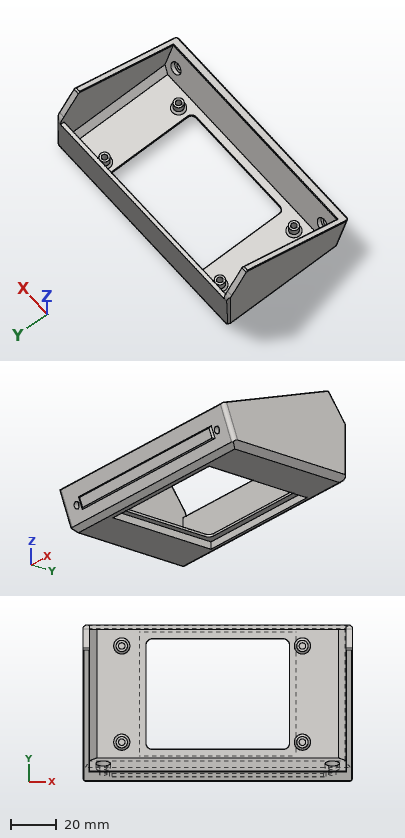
import cadquery as cq
import math

width = 118.0
depth = 68.7
height = 40.5
tilt = 20.5
rise = math.tan(math.radians(tilt))

front_corner_z = 18.5
nose_chamfer = 0.5
nose_rise = 0.6
nose_z = front_corner_z + nose_rise
front_base_z = 2.1
front_bevel = 2.8
front_base_y = (front_corner_z - front_base_z) * rise
front_bottom_y = front_base_y + front_bevel
peak_y = nose_chamfer + (height - nose_z) / rise
peak_bevel = 1.0
rear_slope_y = 66.8
rear_slope_z = 28.1
rear_wall_top = 23.4
rear_lean = 0.4
rear_base_y = depth - rear_lean
rear_chamfer = 1.2
side_bevel_width = 2.8
side_bevel_height = 3.3
front_edge_radius = 2.0
rim_chamfer = 0.4

side_wall = 3.0
front_rim = 4.5
rear_wall = 2.0
floor_z = 4.7
cavity_chamfer = 3.2

window_width = 62.8
window_depth = 48.3
window_center_y = 38.4
window_radius = 2.7
window_lip = 1.2
recess_margin = 3.0

post_spacing_x = 79.1
post_spacing_y = 42.1
post_center_x = -2.5
post_center_y = 38.4
post_diameter = 5.0
post_base_diameter = 7.1
post_flare = 1.1
post_height = 4.7
post_hole = 2.8
post_hole_depth = 5.9

bar_length = 94.9
bar_width = 5.9
bar_height = 0.6
bar_end_bevel = 1.2
bar_side_bevel = 0.6
feature_z = 9.5
screw_spacing = 100.3
screw_diameter = 3.3
pocket_diameter = 6.3
pocket_depth = 2.1


def side_extrusion(profile, span):
    """Extrude a closed YZ profile symmetrically about the middle of the case."""
    return profile.extrude(span / 2, both=True)


def make_shell():
    profile = (
        cq.Workplane("YZ")
        .moveTo(front_bottom_y, 0)
        .lineTo(rear_base_y - rear_chamfer, 0)
        .lineTo(rear_base_y, rear_chamfer)
        .lineTo(depth, rear_wall_top)
        .tangentArcPoint((rear_slope_y, rear_slope_z), relative=False)
        .lineTo(peak_y + peak_bevel, height - peak_bevel / 2)
        .lineTo(peak_y, height)
        .lineTo(nose_chamfer, nose_z)
        .lineTo(0, front_corner_z)
        .lineTo(front_base_y, front_base_z)
        .close()
    )
    shell = side_extrusion(profile, width)
    front_edges = cq.selectors.BoxSelector(
        (-width, front_base_y / 4, front_base_z + 1.2), (width, front_base_y * 0.75, front_corner_z - 1.2)
    )
    shell = shell.edges(front_edges).fillet(front_edge_radius)
    return shell.intersect(make_lower_envelope()).intersect(make_rim_envelope())


def make_lower_envelope():
    """Block that bevels the rear corners and the lower long edges of the sides."""
    block = cq.Workplane("XY").box(width, 2 * depth, 2 * height, centered=(True, True, False))
    block = block.edges("|Z and >Y").chamfer(rear_chamfer)
    return block.faces("<Z").edges("|Y").chamfer(side_bevel_height, side_bevel_width)


def make_rim_envelope():
    """Block lying along the sloped rim that bevels its outer edges."""
    block = cq.Workplane("XY").box(width, 4 * depth, 4 * height, centered=(True, True, False))
    block = block.translate((0, 0, -4 * height)).edges("|Y and >Z").chamfer(rim_chamfer)
    return block.rotate((0, 0, 0), (1, 0, 0), tilt).translate((0, nose_chamfer, nose_z))


def make_cavity():
    rim_z = nose_z + (front_rim - nose_chamfer) * rise
    top = 2 * height
    front_floor_y = front_rim + (rim_z - floor_z) * rise
    front_top_y = front_rim - (top - rim_z) * rise
    rear_y = depth - rear_wall
    profile = (
        cq.Workplane("YZ")
        .moveTo(front_floor_y, floor_z)
        .lineTo(rear_y, floor_z)
        .lineTo(rear_y, top)
        .lineTo(front_top_y, top)
        .close()
    )
    cavity = side_extrusion(profile, width - 2 * side_wall)
    cavity = cavity.faces("<Z").edges("|Y").chamfer(cavity_chamfer)
    return cavity.union(make_rim_bevel())


def make_rim_bevel():
    """Tapered frustum that bevels the inner edges of the rim, at the front and the sides."""
    angle = math.radians(tilt)
    front = (front_rim - nose_chamfer) / math.cos(angle)
    span = width - 2 * side_wall
    rim_plane = cq.Plane(
        origin=(0, nose_chamfer, nose_z), xDir=(1, 0, 0), normal=(0, -math.sin(angle), math.cos(angle))
    )
    return (
        cq.Workplane(rim_plane).center(0, front + depth / 2)
        .rect(span + 2 * rim_chamfer, depth + 2 * rim_chamfer)
        .workplane(offset=-rim_chamfer)
        .rect(span, depth)
        .loft(ruled=True)
    )


def make_rear_opening():
    """Clear the space above the rear wall, between the two side wings."""
    return cq.Workplane("XY").box(
        width - 2 * side_wall, depth, height, centered=(True, False, False)
    ).translate((0, depth / 2, rear_wall_top))


def make_window():
    opening = (
        cq.Workplane("XY").center(0, window_center_y)
        .rect(window_width, window_depth).extrude(floor_z).edges("|Z").fillet(window_radius)
    )
    recess = (
        cq.Workplane("XY").center(0, window_center_y)
        .rect(window_width + 2 * recess_margin, window_depth + 2 * recess_margin)
        .extrude(floor_z - window_lip)
    )
    return opening.union(recess)


def post_points(z):
    return (
        cq.Workplane("XY", origin=(post_center_x, post_center_y, z))
        .rect(post_spacing_x, post_spacing_y, forConstruction=True).vertices()
    )


def make_posts():
    post_radius = post_diameter / 2
    post = (
        cq.Workplane("XZ")
        .lineTo(post_base_diameter / 2, 0)
        .lineTo(post_radius, post_flare)
        .lineTo(post_radius, post_height)
        .lineTo(0, post_height)
        .close()
        .revolve(360, (0, 0), (0, 1))
    )
    return post_points(floor_z).eachpoint(lambda place: post.val().located(place))


def make_post_holes():
    return post_points(floor_z + post_height).circle(post_hole / 2).extrude(-post_hole_depth)


def front_plane():
    """Plane on the leaning front face, normal pointing out of the case."""
    angle = math.radians(tilt)
    center = (0, (front_corner_z - feature_z) * rise, feature_z)
    return cq.Plane(origin=center, xDir=(1, 0, 0), normal=(0, -math.cos(angle), -math.sin(angle)))


def make_bar():
    return (
        cq.Workplane(front_plane())
        .rect(bar_length, bar_width)
        .workplane(offset=bar_height)
        .rect(bar_length - 2 * bar_end_bevel, bar_width - 2 * bar_side_bevel)
        .loft(ruled=True)
    )


def make_screw_holes():
    """Through holes with wider round pockets on the inside of the front wall."""
    wall = (front_rim - nose_chamfer) / math.cos(math.radians(tilt)) + nose_chamfer
    places = [(-screw_spacing / 2, 0), (screw_spacing / 2, 0)]
    face = cq.Workplane(front_plane())
    holes = face.pushPoints(places).circle(screw_diameter / 2).extrude(-2 * wall)
    pockets = (
        face.workplane(offset=pocket_depth - wall).pushPoints(places)
        .circle(pocket_diameter / 2).extrude(-2 * pocket_depth)
    )
    return holes.union(pockets)


result = (
    make_shell()
    .cut(make_cavity())
    .cut(make_rear_opening())
    .union(make_posts())
    .union(make_bar())
    .cut(make_window())
    .cut(make_post_holes())
    .cut(make_screw_holes())
)